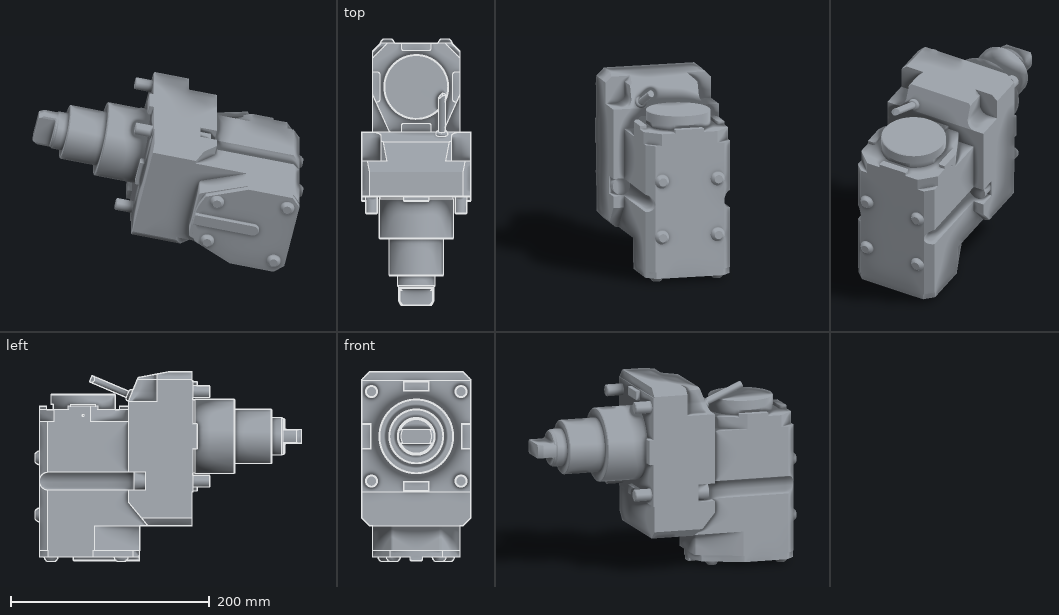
import cadquery as cq
import math


PLATE_WIDTH = 110.0
PLATE_TOP = 65.0
PLATE_BOTTOM = -90.0
PLATE_CHAMFER = 8.0
PLATE_DEPTH = 35.2
PLATE_CREST = 24.0
SHOULDER_BACK = 64.2
SHOULDER_CREST_Y = 54.5
SHOULDER_CREST_Z = 59.2
SHOULDER_EDGE_Z = 35.2
SHOULDER_TOE_Y = 44.4
SHOULDER_TOE_Z = -66.0
PAD_THICKNESS = 0.8
PAD_HEIGHT = 112.0

KEY_LENGTH = 25.4
KEY_WIDTH = 9.5
KEY_TOP = 5.3
KEY_OFFSET = 55.0
KEY_CHAMFER = 0.6

SCREW_PITCH = 90.0
SCREW_DIAMETER = 12.0
SCREW_REACH = 18.0
SCREW_CHAMFER = 0.8
SCREW_HEAD_DIAMETER = 18.0
SCREW_HEAD_HEIGHT = 11.5
SCREW_SEAT = 47.0
CORNER_FILLET = 9.8

COLLAR_DIAMETER = 75.0
COLLAR_GROOVE_DIAMETER = 74.0
COLLAR_GROOVE_WIDTH = 2.0
COLLAR_END = 43.0
SLEEVE_DIAMETER = 55.0
SLEEVE_END = 80.2
SHAFT_DIAMETER = 38.0
SHAFT_END = 90.0
NECK_DIAMETER = 36.0
NECK_START = 91.3
NECK_END = 93.1
NECK_CHAMFER = 1.0
RIM_CHAMFER = 0.8

TANG_END = 110.0
TANG_THICKNESS = 14.0
TANG_EDGE_CHAMFER = 1.5
TANG_FLAT_WIDTH = 29.0
TANG_SHOULDER_WIDTH = 33.0
TANG_SHOULDER_DROP = 0.5
TANG_TIP_DIAMETER = 30.6
TANG_TIP_TAPER = 5.0
TANG_ROOT_RADIUS = 2.0

BODY_WIDTH = 88.0
BODY_CENTRE_Y = 109.7
BODY_BACK = BODY_CENTRE_Y + BODY_WIDTH / 2
BODY_CHAMFER = 8.0
BODY_TOP = 15.0
BODY_BOTTOM = -115.0
BODY_TAPER_START = 98.0
BODY_FRONT = 52.7
BODY_FRONT_WIDTH = 50.0
CORNER_RADIUS = 3.0

CAP_TOP = 27.0
CAP_CHAMFER = 15.0
CAP_TAPER_START = 102.3
CAP_FRONT = SHOULDER_BACK
CAP_FRONT_WIDTH = 53.6
CAP_PAD_LENGTH = 30.0
CAP_PAD_WIDTH = 7.4
CAP_PAD_TOP = 30.4
CAP_PAD_RADIUS = 2.5
CAP_PORT_DIAMETER = 2.1
CAP_PORT_DEPTH = 3.0
CAP_PORT_Z = 21.0

KNOB_DIAMETER = 65.0
KNOB_TOP = 42.4
KNOB_CHAMFER = 0.8
KNOB_FLAT_RADIUS = 30.0
KNOB_FLAT_TOP = 32.1

BASE_BOTTOM = -121.5
BASE_CHAMFER = 9.0
BASE_TAPER_START = 99.5
BASE_TAPER_END = 59.3
BASE_FRONT_WIDTH = 53.2
BASE_FRONT = BODY_FRONT
STRAP_WIDTH = 12.6
STRAP_BACK = 119.8
STRAP_CHAMFER = 1.0
STRAP_BOTTOM = -125.2

BUTTON_DIAMETER = 14.5
BUTTON_TOP_DIAMETER = 8.4
BUTTON_HEIGHT = 4.4
BUTTON_BOW = 0.3
BACK_BUTTON_X = 29.0
BACK_BUTTON_Z = (-21.6, -79.0)
BASE_BUTTONS = ((31.5, 141.8), (23.0, 71.4))

CABLE_X = 25.7
CABLE_START_Z = 40.9
CABLE_TILT = 23.1
CABLE_DIAMETER = 7.0
CABLE_LENGTH = 43.7
CABLE_TIP_OFFSET = 0.7
GLAND_DIAMETER = 12.0
GLAND_LENGTH = 3.4
GLAND_ROOT = 3.0
GLAND_RADIUS = 2.4


def box(x, y, z):
    """Box between the (low, high) limits given for each axis."""
    size = (x[1] - x[0], y[1] - y[0], z[1] - z[0])
    return cq.Workplane("XY").box(*size, centered=False).translate((x[0], y[0], z[0]))


def y_cylinder(diameter, y_low, y_high, x=0.0, z=0.0):
    """Cylinder along Y between two Y positions."""
    plane = cq.Workplane("XZ", origin=(x, y_high, z))
    return plane.circle(diameter / 2).extrude(y_high - y_low)


def side_prism(points):
    """Prism over the full plate width from a (Y, Z) outline."""
    plane = cq.Workplane("YZ", origin=(-PLATE_WIDTH / 2, 0, 0))
    return plane.polyline(points).close().extrude(PLATE_WIDTH)


def chamfered_slab(y_low, y_high):
    """Plate outline with all four corners chamfered, between two Y positions."""
    slab = box((-PLATE_WIDTH / 2, PLATE_WIDTH / 2), (y_low, y_high), (PLATE_BOTTOM, PLATE_TOP))
    return slab.edges("|Y").chamfer(PLATE_CHAMFER)


def make_plate():
    profile = [
        (0, PLATE_BOTTOM),
        (0, PLATE_TOP),
        (PLATE_CREST, PLATE_TOP),
        (SHOULDER_CREST_Y, SHOULDER_CREST_Z),
        (SHOULDER_CREST_Y, PLATE_BOTTOM),
    ]
    plate = chamfered_slab(0, PLATE_DEPTH).intersect(side_prism(profile))
    pad_x = (-PLATE_WIDTH / 2, PLATE_WIDTH / 2)
    pad = box(pad_x, (-PAD_THICKNESS, 0), (-PAD_HEIGHT / 2, PAD_HEIGHT / 2))
    return plate.union(pad)


def make_shoulder():
    """Rear part of the plate: a sloped hump between two hollowed corners."""
    top_slope = (PLATE_TOP - SHOULDER_CREST_Z) / (SHOULDER_CREST_Y - PLATE_CREST)
    profile = [
        (PLATE_DEPTH, PLATE_BOTTOM),
        (PLATE_DEPTH, PLATE_TOP - top_slope * (PLATE_DEPTH - PLATE_CREST)),
        (SHOULDER_CREST_Y, SHOULDER_CREST_Z),
        (SHOULDER_BACK, SHOULDER_EDGE_Z),
        (SHOULDER_BACK, SHOULDER_TOE_Z),
        (SHOULDER_TOE_Y, PLATE_BOTTOM),
    ]
    hump_half = SCREW_PITCH / 2 - CORNER_FILLET
    hump_chamfer_sum = PLATE_TOP + PLATE_WIDTH / 2 - PLATE_CHAMFER - 2 * CORNER_FILLET
    half = PLATE_WIDTH / 2
    low_half = half - PLATE_CHAMFER
    low_edge = PLATE_BOTTOM + PLATE_CHAMFER
    bulge = CORNER_FILLET * math.sqrt(0.5)
    centre_x = SCREW_PITCH / 2
    centre_z = SHOULDER_EDGE_Z + CORNER_FILLET
    section = (
        cq.Workplane("XZ", origin=(0, SHOULDER_BACK, 0))
        .moveTo(-low_half, PLATE_BOTTOM)
        .lineTo(low_half, PLATE_BOTTOM)
        .lineTo(half, low_edge)
        .lineTo(half, SHOULDER_EDGE_Z)
        .lineTo(centre_x, SHOULDER_EDGE_Z)
        .threePointArc((centre_x - bulge, centre_z - bulge), (hump_half, centre_z))
        .lineTo(hump_half, hump_chamfer_sum - hump_half)
        .lineTo(hump_chamfer_sum - PLATE_TOP, PLATE_TOP)
        .lineTo(PLATE_TOP - hump_chamfer_sum, PLATE_TOP)
        .lineTo(-hump_half, hump_chamfer_sum - hump_half)
        .lineTo(-hump_half, centre_z)
        .threePointArc((bulge - centre_x, centre_z - bulge), (-centre_x, SHOULDER_EDGE_Z))
        .lineTo(-half, SHOULDER_EDGE_Z)
        .lineTo(-half, low_edge)
        .close()
        .extrude(SHOULDER_BACK - PLATE_DEPTH)
    )
    return section.intersect(side_prism(profile))


def make_keys():
    keys = cq.Workplane("XY")
    for quarter in range(4):
        key = box(
            (-KEY_LENGTH / 2, KEY_LENGTH / 2),
            (-KEY_TOP, 0),
            (KEY_OFFSET - KEY_WIDTH, KEY_OFFSET),
        )
        key = key.faces("<Y").chamfer(KEY_CHAMFER)
        keys = keys.union(key.rotate((0, 0, 0), (0, 1, 0), 90 * quarter))
    return keys


def make_screw_ends():
    ends = cq.Workplane("XY")
    for x in (-SCREW_PITCH / 2, SCREW_PITCH / 2):
        for z in (-SCREW_PITCH / 2, SCREW_PITCH / 2):
            end = y_cylinder(SCREW_DIAMETER, -SCREW_REACH, 0, x, z)
            ends = ends.union(end.faces("<Y").chamfer(SCREW_CHAMFER))
    return ends


def turned(profile):
    """Solid of revolution about the Y axis from (radius, distance toward -Y) points."""
    points = [(radius, -reach) for radius, reach in profile]
    return cq.Workplane("XY").polyline(points).close().revolve(360, (0, 0, 0), (0, 1, 0))


def make_spindle():
    groove_end = PAD_THICKNESS + COLLAR_GROOVE_WIDTH
    collar = COLLAR_DIAMETER / 2
    groove = COLLAR_GROOVE_DIAMETER / 2
    sleeve = SLEEVE_DIAMETER / 2
    shaft = SHAFT_DIAMETER / 2
    neck = NECK_DIAMETER / 2
    return turned([
        (0, 0),
        (groove, 0),
        (groove, groove_end),
        (collar, groove_end),
        (collar, COLLAR_END - RIM_CHAMFER),
        (collar - RIM_CHAMFER, COLLAR_END),
        (sleeve, COLLAR_END),
        (sleeve, SLEEVE_END - RIM_CHAMFER),
        (sleeve - RIM_CHAMFER, SLEEVE_END),
        (shaft, SLEEVE_END),
        (shaft, SHAFT_END),
        (neck, NECK_START),
        (neck, NECK_END - NECK_CHAMFER),
        (neck - NECK_CHAMFER, NECK_END),
        (0, NECK_END),
    ])


def make_tang_root():
    """Concave fillets between the tang's flat faces and the end of the neck."""
    radius = TANG_ROOT_RADIUS
    half_z = TANG_THICKNESS / 2
    root_z = half_z + radius
    root_end = -NECK_END - radius
    bulge = radius * (1 - math.sqrt(0.5))
    profile = (
        cq.Workplane("YZ", origin=(-NECK_DIAMETER / 2, 0, 0))
        .moveTo(-SHAFT_END, -root_z)
        .lineTo(-NECK_END, -root_z)
        .threePointArc((-NECK_END - bulge, -half_z - bulge), (root_end, -half_z))
        .lineTo(root_end, half_z)
        .threePointArc((-NECK_END - bulge, half_z + bulge), (-NECK_END, root_z))
        .lineTo(-SHAFT_END, root_z)
        .close()
        .extrude(NECK_DIAMETER)
    )
    return profile.intersect(y_cylinder(NECK_DIAMETER - 2 * NECK_CHAMFER, root_end, -SHAFT_END))


def make_tang():
    """Flat drive tang with round sides, bevelled long edges and a conical tip."""
    half = NECK_DIAMETER / 2
    tip = TANG_TIP_DIAMETER / 2
    half_z = TANG_THICKNESS / 2
    flat = TANG_FLAT_WIDTH / 2
    shoulder = TANG_SHOULDER_WIDTH / 2
    shoulder_z = half_z - TANG_SHOULDER_DROP
    edge_z = half_z - TANG_EDGE_CHAMFER
    section = [
        (-half, -edge_z),
        (-shoulder, -shoulder_z),
        (-flat, -half_z),
        (flat, -half_z),
        (shoulder, -shoulder_z),
        (half, -edge_z),
        (half, edge_z),
        (shoulder, shoulder_z),
        (flat, half_z),
        (-flat, half_z),
        (-shoulder, shoulder_z),
        (-half, edge_z),
    ]
    bar = (
        cq.Workplane("XZ", origin=(0, -SHAFT_END, 0))
        .polyline(section)
        .close()
        .extrude(TANG_END - SHAFT_END)
    )
    envelope = turned([
        (0, SHAFT_END),
        (half, SHAFT_END),
        (half, TANG_END - TANG_TIP_TAPER),
        (tip, TANG_END),
        (0, TANG_END),
    ])
    return bar.intersect(envelope).union(make_tang_root())


def tapered_plan(z, chamfer, taper_start, front, front_width, height):
    """Body outline: square back with chamfered corners, sides tapering to the front."""
    half = BODY_WIDTH / 2
    points = [
        (-front_width / 2, front),
        (front_width / 2, front),
        (half, taper_start),
        (half, BODY_BACK - chamfer),
        (half - chamfer, BODY_BACK),
        (chamfer - half, BODY_BACK),
        (-half, BODY_BACK - chamfer),
        (-half, taper_start),
    ]
    return cq.Workplane("XY", origin=(0, 0, z)).polyline(points).close().extrude(height)


def make_body():
    upper = box((-BODY_WIDTH / 2, BODY_WIDTH / 2), (PLATE_DEPTH, BODY_BACK), (PLATE_BOTTOM, BODY_TOP))
    upper = upper.edges("|Z and >Y").chamfer(BODY_CHAMFER)
    lower = tapered_plan(
        BODY_BOTTOM,
        BODY_CHAMFER,
        BODY_TAPER_START,
        BODY_FRONT,
        BODY_FRONT_WIDTH,
        PLATE_BOTTOM - BODY_BOTTOM,
    )
    return upper.union(lower.edges("|Z and <Y").fillet(CORNER_RADIUS))


def make_cap():
    cap = tapered_plan(
        BODY_TOP, CAP_CHAMFER, CAP_TAPER_START, CAP_FRONT, CAP_FRONT_WIDTH, CAP_TOP - BODY_TOP
    )
    cap = cap.edges("|Z and <Y").fillet(CORNER_RADIUS)
    pads = cq.Workplane("XY")
    for quarter in range(4):
        pad = box(
            (BODY_WIDTH / 2 - CAP_PAD_WIDTH, BODY_CENTRE_Y - CAP_FRONT),
            (-CAP_PAD_LENGTH / 2, CAP_PAD_LENGTH / 2),
            (BODY_TOP, CAP_PAD_TOP),
        )
        pad = pad.edges("|Z and <X").fillet(CAP_PAD_RADIUS)
        pads = pads.union(pad.rotate((0, 0, 0), (0, 0, 1), 90 * quarter))
    pads = pads.translate((0, BODY_CENTRE_Y, 0))
    outline = tapered_plan(
        BODY_TOP, CAP_CHAMFER, CAP_TAPER_START, CAP_FRONT, CAP_FRONT_WIDTH, CAP_PAD_TOP - BODY_TOP
    )
    port = (
        cq.Workplane("YZ", origin=(-BODY_WIDTH / 2, BODY_CENTRE_Y, CAP_PORT_Z))
        .circle(CAP_PORT_DIAMETER / 2)
        .extrude(CAP_PORT_DEPTH)
    )
    return cap.union(pads.intersect(outline)).cut(port)


def make_knob():
    """Round knob with flats on the lower part at its back and both sides."""
    knob = (
        cq.Workplane("XY", origin=(0, BODY_CENTRE_Y, CAP_TOP))
        .circle(KNOB_DIAMETER / 2)
        .extrude(KNOB_TOP - CAP_TOP)
        .faces(">Z")
        .chamfer(KNOB_CHAMFER)
    )
    radius = KNOB_DIAMETER / 2
    flat = box((KNOB_FLAT_RADIUS, radius), (-radius, radius), (CAP_TOP, KNOB_FLAT_TOP))
    for quarter in range(3):
        side_flat = flat.rotate((0, 0, 0), (0, 0, 1), 90 * quarter)
        knob = knob.cut(side_flat.translate((0, BODY_CENTRE_Y, 0)))
    return knob


def base_plan(bottom, height):
    """Bottom plate outline with a bowed front edge."""
    half = BODY_WIDTH / 2
    front_half = BASE_FRONT_WIDTH / 2
    return (
        cq.Workplane("XY", origin=(0, 0, bottom))
        .moveTo(-front_half, BASE_TAPER_END)
        .threePointArc((0, BASE_FRONT), (front_half, BASE_TAPER_END))
        .lineTo(half, BASE_TAPER_START)
        .lineTo(half, BODY_BACK - BASE_CHAMFER)
        .lineTo(half - BASE_CHAMFER, BODY_BACK)
        .lineTo(BASE_CHAMFER - half, BODY_BACK)
        .lineTo(-half, BODY_BACK - BASE_CHAMFER)
        .lineTo(-half, BASE_TAPER_START)
        .close()
        .extrude(height)
    )


def make_strap():
    """Strip along Y under the bottom plate, with a rounded rear end and a bevelled rim."""
    radius = STRAP_WIDTH / 2
    rear = STRAP_BACK - radius
    height = BASE_BOTTOM - STRAP_BOTTOM
    strip = box((-radius, radius), (BODY_FRONT, rear), (STRAP_BOTTOM, BASE_BOTTOM))
    end = cq.Workplane("XY", origin=(0, rear, STRAP_BOTTOM)).circle(radius).extrude(height)
    strip = strip.union(end).intersect(base_plan(STRAP_BOTTOM, height))
    return strip.faces("<Z").edges("not(<Y)").chamfer(STRAP_CHAMFER)


def make_base():
    return base_plan(BASE_BOTTOM, BODY_BOTTOM - BASE_BOTTOM).union(make_strap())


def make_button():
    """Domed screw head standing on the XY plane."""
    base = BUTTON_DIAMETER / 2
    top = BUTTON_TOP_DIAMETER / 2
    bow_x = (base + top) / 2 + BUTTON_BOW
    bow_z = BUTTON_HEIGHT / 2 + BUTTON_BOW
    return (
        cq.Workplane("XZ")
        .lineTo(base, 0)
        .threePointArc((bow_x, bow_z), (top, BUTTON_HEIGHT))
        .lineTo(0, BUTTON_HEIGHT)
        .close()
        .revolve(360, (0, 0, 0), (0, 1, 0))
    )


def make_buttons():
    button = make_button()
    back_button = button.rotate((0, 0, 0), (1, 0, 0), -90)
    base_button = button.rotate((0, 0, 0), (1, 0, 0), 180)
    buttons = cq.Workplane("XY")
    for side in (-1, 1):
        for z in BACK_BUTTON_Z:
            buttons = buttons.union(back_button.translate((side * BACK_BUTTON_X, BODY_BACK, z)))
        for x, y in BASE_BUTTONS:
            buttons = buttons.union(base_button.translate((side * x, y, BASE_BOTTOM)))
    return buttons


def make_cable():
    """Cable leaving the sloped rear of the hump through a rounded gland, with a slanted tip."""
    run = SHOULDER_BACK - SHOULDER_CREST_Y
    rise = SHOULDER_CREST_Z - SHOULDER_EDGE_Z
    start_y = SHOULDER_BACK - (CABLE_START_Z - SHOULDER_EDGE_Z) * run / rise
    tilt = math.radians(CABLE_TILT)
    axis = (0, math.cos(tilt), math.sin(tilt))
    plane = cq.Plane(origin=(CABLE_X, start_y, CABLE_START_Z), xDir=(1, 0, 0), normal=axis)
    radius = CABLE_DIAMETER / 2
    cable = cq.Workplane(plane).circle(radius).extrude(CABLE_LENGTH)
    slant = radius + CABLE_TIP_OFFSET
    tip_cut = (
        cq.Workplane(cq.Plane(origin=plane.origin, xDir=plane.xDir, normal=plane.yDir))
        .polyline([
            (-radius, slant - CABLE_LENGTH),
            (-radius, -CABLE_LENGTH),
            (CABLE_TIP_OFFSET, -CABLE_LENGTH),
        ])
        .close()
        .extrude(CABLE_DIAMETER, both=True)
    )
    gland = (
        cq.Workplane(plane)
        .workplane(offset=-GLAND_ROOT)
        .circle(GLAND_DIAMETER / 2)
        .extrude(GLAND_ROOT + GLAND_LENGTH)
    )
    outer_rim = cq.selectors.DirectionMinMaxSelector(plane.zDir)
    gland = gland.faces(outer_rim).edges().fillet(GLAND_RADIUS)
    return cable.cut(tip_cut).union(gland)


def make_screw_channels():
    """Open-sided channels giving access to the two lower mounting screws."""
    channels = cq.Workplane("XY")
    radius = SCREW_HEAD_DIAMETER / 2
    x = SCREW_PITCH / 2
    z = -SCREW_PITCH / 2
    for side in (-1, 1):
        bore = y_cylinder(SCREW_HEAD_DIAMETER, SCREW_SEAT, BODY_BACK, side * x, z)
        opening = box((x, PLATE_WIDTH / 2), (SCREW_SEAT, BODY_BACK), (z - radius, z + radius))
        if side < 0:
            opening = opening.mirror("YZ")
        channels = channels.union(bore).union(opening)
    return channels


def make_screw_heads():
    heads = cq.Workplane("XY")
    for x in (-SCREW_PITCH / 2, SCREW_PITCH / 2):
        head_end = SCREW_SEAT + SCREW_HEAD_HEIGHT
        heads = heads.union(y_cylinder(SCREW_HEAD_DIAMETER, SCREW_SEAT, head_end, x, -SCREW_PITCH / 2))
    return heads


housing = make_plate().union(make_shoulder()).union(make_body())
housing = housing.cut(make_screw_channels()).union(make_screw_heads())
front_parts = make_keys().union(make_screw_ends()).union(make_spindle()).union(make_tang())
rear_parts = make_cap().union(make_knob()).union(make_base()).union(make_buttons())
result = housing.union(front_parts).union(rear_parts).union(make_cable())